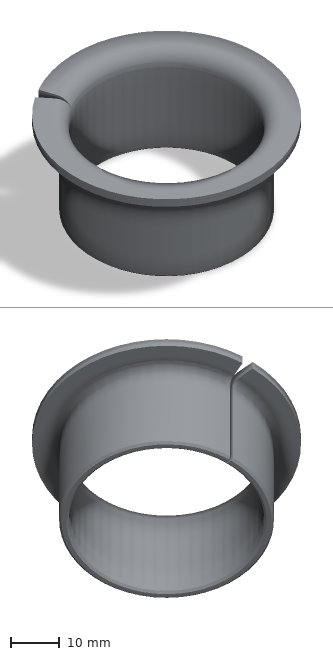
import cadquery as cq
import math

flange_diameter = 55.0
height = 25.0
bore_diameter = 40.0
wall = 2.0
outer_bend_radius = 1.5
end_chamfer = 0.5
bore_chamfer = 0.5
apex_y = -0.7
apex_depth = 0.05
mouth_y_high = 0.35
mouth_y_low = -2.25

flange_radius = flange_diameter / 2
bore_radius = bore_diameter / 2
tube_radius = bore_radius + wall
inner_bend_radius = outer_bend_radius + wall
bend_center_r = tube_radius + outer_bend_radius
bend_center_z = height - inner_bend_radius


def bend_midpoint(radius):
    """Point halfway round the quarter-circle bend, as (r, z)."""
    offset = radius * math.sqrt(0.5)
    return (bend_center_r - offset, bend_center_z + offset)


def flanged_sleeve():
    """Constant-thickness sleeve rolled outward into a flange."""
    return (
        cq.Workplane("XZ")
        .moveTo(bore_radius, bore_chamfer)
        .lineTo(bore_radius + bore_chamfer, 0)
        .lineTo(tube_radius - end_chamfer, 0)
        .lineTo(tube_radius, end_chamfer)
        .lineTo(tube_radius, bend_center_z)
        .threePointArc(bend_midpoint(outer_bend_radius), (bend_center_r, height - wall))
        .lineTo(flange_radius, height - wall)
        .lineTo(flange_radius, height)
        .lineTo(bend_center_r, height)
        .threePointArc(bend_midpoint(inner_bend_radius), (bore_radius, bend_center_z))
        .close()
        .revolve(360, (0, 0, 0), (0, 1, 0))
    )


def joint_wedge():
    """V-shaped prism, narrow at the bore and wide beyond the flange rim."""
    apex_x = -(bore_radius - apex_depth)
    reach = 1.5
    rim_distance = flange_radius + apex_x
    tip_x = apex_x - reach * rim_distance
    return (
        cq.Workplane("XY")
        .polyline([
            (apex_x, apex_y),
            (tip_x, apex_y + reach * (mouth_y_high - apex_y)),
            (tip_x, apex_y + reach * (mouth_y_low - apex_y)),
        ])
        .close()
        .extrude(height)
    )


result = flanged_sleeve().cut(joint_wedge())